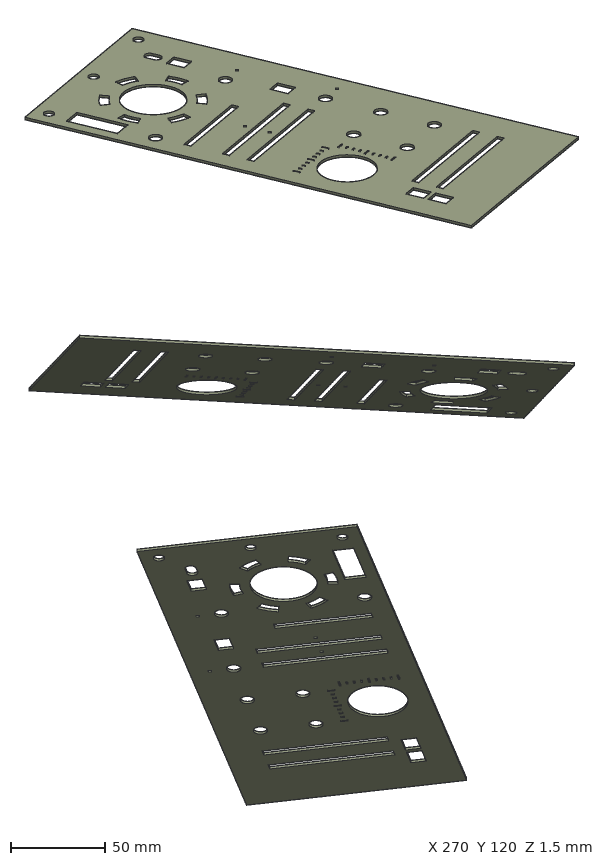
import cadquery as cq
import math

LENGTH = 270.0
WIDTH = 120.0
THICKNESS = 1.5

MOUNT_DIAMETER = 6.0
MOUNT_X = 9.2
MOUNT_PITCH = 50.0

DIAL_CENTER = (50.0, 51.0)
DIAL_DIAMETER = 36.0
WINDOW_COUNT = 6
WINDOW_INNER_RADIUS = 23.5
WINDOW_OUTER_RADIUS = 29.0
WINDOW_ANGLE = 24.0
FIRST_WINDOW_ANGLE = 30.0

JOYSTICK_CENTER = (179.5, 28.4)
JOYSTICK_DIAMETER = 32.0
SCALE_DISTANCE = 22.0
TICK_COUNT = 9
TICK_PITCH = JOYSTICK_DIAMETER / (TICK_COUNT - 1)
TICK_WIDTH = 0.8
LONG_TICK = 4.0
SHORT_TICK = 2.0
LONG_TICK_EVERY = 4

KNOB_DIAMETER = 7.5
DIAL_KNOB_X = 72.5
DIAL_KNOB_LOW_Y = 12.0
DIAL_KNOB_HIGH_Y = 90.0
KNOB_ROW_Y = 95.8
LOWER_KNOB_ROW_Y = 65.5
KNOB_HALF_SPACING = 16.2

SLIDER_WIDTH = 4.0
SLIDER_LENGTH = 68.0
SHORT_SLIDER_LENGTH = 53.2
SLIDER_PITCH = 14.8
SHORT_SLIDER_X = 91.8
MIDDLE_SLIDER_X = 115.0
MIDDLE_SLIDER_BOTTOM = 12.2
RIGHT_SLIDER_X = 219.0
RIGHT_SLIDER_BOTTOM = 31.5

LIGHT_DIAMETER = 1.8
DIAL_LIGHT_Y = 103.0
KNOB_LIGHT_Y = 108.8
SLIDER_LIGHT_Y = 46.5
SLIDER_LIGHT_OFFSET = 7.0

SWITCH_LENGTH = 10.8
SWITCH_HEIGHT = 8.5
SWITCH_CENTERS = [(41.0, 96.5), (104.2, 95.5), (226.8, 20.8), (240.3, 20.8)]

DISPLAY_CENTER = (37.0, 12.5)
DISPLAY_LENGTH = 30.8
DISPLAY_HEIGHT = 11.5
CONNECTOR_CENTER = (25.6, 95.8)
CONNECTOR_LENGTH = 10.0
CONNECTOR_HEIGHT = 6.0


def round_cutters(centers, diameter):
    return cq.Workplane("XY").pushPoints(centers).circle(diameter / 2).extrude(THICKNESS)


def rect_cutters(centers, length, height):
    return cq.Workplane("XY").pushPoints(centers).rect(length, height).extrude(THICKNESS)


def slider_cutters(x_positions, bottom, length):
    centers = [(x, bottom + length / 2) for x in x_positions]
    return rect_cutters(centers, SLIDER_WIDTH, length)


def dial_point(radius, angle):
    """Point at a polar position (angle in degrees) around the dial centre."""
    x = DIAL_CENTER[0] + radius * math.cos(math.radians(angle))
    y = DIAL_CENTER[1] + radius * math.sin(math.radians(angle))
    return (x, y)


def dial_window(middle):
    """Ring-sector window centred on the given angle, with radial ends."""
    start = middle - WINDOW_ANGLE / 2
    end = middle + WINDOW_ANGLE / 2
    return (
        cq.Workplane("XY")
        .moveTo(*dial_point(WINDOW_INNER_RADIUS, start))
        .lineTo(*dial_point(WINDOW_OUTER_RADIUS, start))
        .threePointArc(dial_point(WINDOW_OUTER_RADIUS, middle), dial_point(WINDOW_OUTER_RADIUS, end))
        .lineTo(*dial_point(WINDOW_INNER_RADIUS, end))
        .threePointArc(dial_point(WINDOW_INNER_RADIUS, middle), dial_point(WINDOW_INNER_RADIUS, start))
        .close()
        .extrude(THICKNESS)
    )


def cut_tick_scales(body):
    """Cut both scales; the end and middle ticks are long."""
    center_x, center_y = JOYSTICK_CENTER
    for index in range(TICK_COUNT):
        offset = (index - (TICK_COUNT - 1) / 2) * TICK_PITCH
        tick = LONG_TICK if index % LONG_TICK_EVERY == 0 else SHORT_TICK
        upper = (center_x + offset, center_y + SCALE_DISTANCE)
        left = (center_x - SCALE_DISTANCE, center_y + offset)
        body = body.cut(rect_cutters([upper], TICK_WIDTH, tick))
        body = body.cut(rect_cutters([left], tick, TICK_WIDTH))
    return body


plate = cq.Workplane("XY").box(LENGTH, WIDTH, THICKNESS, centered=False)

mount_centers = [(MOUNT_X, WIDTH / 2 + step * MOUNT_PITCH) for step in (-1, 0, 1)]
plate = plate.cut(round_cutters(mount_centers, MOUNT_DIAMETER))

plate = plate.cut(round_cutters([DIAL_CENTER], DIAL_DIAMETER))
for window in range(WINDOW_COUNT):
    plate = plate.cut(dial_window(FIRST_WINDOW_ANGLE + window * 360 / WINDOW_COUNT))

plate = plate.cut(round_cutters([JOYSTICK_CENTER], JOYSTICK_DIAMETER))
plate = cut_tick_scales(plate)

middle_sliders = [MIDDLE_SLIDER_X, MIDDLE_SLIDER_X + SLIDER_PITCH]
right_sliders = [RIGHT_SLIDER_X, RIGHT_SLIDER_X + SLIDER_PITCH]
plate = plate.cut(slider_cutters([SHORT_SLIDER_X], MIDDLE_SLIDER_BOTTOM, SHORT_SLIDER_LENGTH))
plate = plate.cut(slider_cutters(middle_sliders, MIDDLE_SLIDER_BOTTOM, SLIDER_LENGTH))
plate = plate.cut(slider_cutters(right_sliders, RIGHT_SLIDER_BOTTOM, SLIDER_LENGTH))

slider_knob_x = middle_sliders[1]
knob_centers = [
    (DIAL_KNOB_X, DIAL_KNOB_LOW_Y),
    (DIAL_KNOB_X, DIAL_KNOB_HIGH_Y),
    (slider_knob_x, KNOB_ROW_Y),
]
for side in (-1, 1):
    for row_y in (LOWER_KNOB_ROW_Y, KNOB_ROW_Y):
        knob_centers.append((JOYSTICK_CENTER[0] + side * KNOB_HALF_SPACING, row_y))
plate = plate.cut(round_cutters(knob_centers, KNOB_DIAMETER))

light_centers = [(DIAL_KNOB_X, DIAL_LIGHT_Y), (slider_knob_x, KNOB_LIGHT_Y)]
light_centers += [(x - SLIDER_LIGHT_OFFSET, SLIDER_LIGHT_Y) for x in middle_sliders]
plate = plate.cut(round_cutters(light_centers, LIGHT_DIAMETER))

plate = plate.cut(rect_cutters(SWITCH_CENTERS, SWITCH_LENGTH, SWITCH_HEIGHT))
plate = plate.cut(rect_cutters([DISPLAY_CENTER], DISPLAY_LENGTH, DISPLAY_HEIGHT))
connector = (
    cq.Workplane("XY")
    .center(*CONNECTOR_CENTER)
    .slot2D(CONNECTOR_LENGTH, CONNECTOR_HEIGHT)
    .extrude(THICKNESS)
)
plate = plate.cut(connector)

result = plate